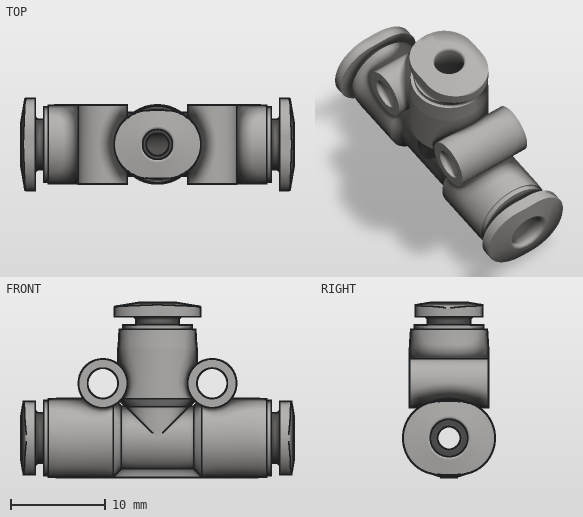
import cadquery as cq

body_radius = 4.2
waist_radius = 3.39
waist_cone = body_radius - waist_radius
flow_radius = 1.2

run_tip = 14.5
run_body_inner = 4.67
run_taper_start = 10.63
run_shoulder = 11.58
run_shoulder_radius = 4.15
run_cap_end = 12.08
run_cap_radius = 4.0
run_neck_radius = 5.37 / 2
run_bore_radius = 3.97 / 2
run_button_radius = 3.9

branch_tip = 14.4
branch_body_inner = 4.15
branch_taper_start = 9.5
branch_shoulder = 11.53
branch_shoulder_radius = 4.07
branch_cap_end = 11.99
branch_cap_radius = 3.7
branch_neck_radius = 4.58 / 2
branch_bore_radius = 3.17 / 2
branch_button_radius = 3.6

button_center_offset = 1.0
button_thickness = 1.54
button_face_drop = 0.45
rim_round = 0.2
neck_flare = 0.33
mouth_round = 0.3
bore_depth = 8.0

sleeve_radius = 5.2 / 2
sleeve_hole_radius = 3.2 / 2
sleeve_offset = 5.8
sleeve_length = 2 * body_radius

rib_width = 1.7


def revolve_outline(outline):
    """Close an outline drawn on the YZ plane and revolve it around Z."""
    return outline.close().revolve(360, (0, 0, 0), (0, 1, 0))


def revolve_profile(points):
    """Revolve a straight-sided outline, given as (radius, height) points, around Z."""
    return revolve_outline(cq.Workplane("YZ").polyline(points))


def socket_body(inner, taper_start, shoulder, shoulder_radius, cap_end, cap_radius):
    """Outer shell of one leg, standing on Z: waist, cone, barrel, taper and end cap."""
    return revolve_profile([
        (0, 0),
        (waist_radius, 0),
        (waist_radius, inner - waist_cone),
        (body_radius, inner),
        (body_radius, taper_start),
        (shoulder_radius, shoulder),
        (cap_radius, shoulder),
        (cap_radius, cap_end),
        (0, cap_end),
    ])


def release_button(tip, radius, neck_radius, bore_radius, cap_end):
    """Oblong button with a conical face, its flare and its neck, standing on Z."""
    base = tip - button_thickness
    reach = radius + button_center_offset
    oblong = (
        cq.Workplane("XY")
        .workplane(offset=base)
        .slot2D(2 * reach, 2 * radius)
        .extrude(button_thickness)
    )
    face = revolve_profile([
        (0, base),
        (reach, base),
        (reach, tip - button_face_drop),
        (bore_radius + mouth_round, tip),
        (0, tip),
    ])
    rim_point = (reach, 0, tip - button_face_drop)
    face = face.edges(cq.selectors.NearestToPointSelector(rim_point)).fillet(rim_round)
    neck = revolve_outline(
        cq.Workplane("YZ")
        .moveTo(0, cap_end)
        .lineTo(neck_radius, cap_end)
        .lineTo(neck_radius, base - neck_flare)
        .radiusArc((neck_radius + neck_flare, base), neck_flare)
        .lineTo(0, base)
    )
    return oblong.intersect(face).union(neck)


def tube_bore(tip, bore_radius):
    """Tube socket with a rounded mouth, narrowing to the flow passage at the origin."""
    return revolve_outline(
        cq.Workplane("YZ")
        .lineTo(flow_radius, 0)
        .lineTo(flow_radius, tip - bore_depth)
        .lineTo(bore_radius, tip - bore_depth)
        .lineTo(bore_radius, tip - mouth_round)
        .radiusArc((bore_radius + mouth_round, tip), mouth_round)
        .lineTo(0, tip)
    )


def to_run(leg, side):
    """Lay a leg from Z onto the +X or -X side, with the long way of its button along Y."""
    return leg.rotate((0, 0, 0), (0, 0, 1), 90).rotate((0, 0, 0), (0, 1, 0), side * 90)


def sleeve_cylinder(radius, side):
    """Cylinder along Y at one sleeve position."""
    return (
        cq.Workplane("XZ", origin=(0, sleeve_length / 2, 0))
        .center(side * sleeve_offset, sleeve_offset)
        .circle(radius)
        .extrude(sleeve_length)
    )


branch_leg = socket_body(
    branch_body_inner, branch_taper_start, branch_shoulder,
    branch_shoulder_radius, branch_cap_end, branch_cap_radius,
).union(release_button(
    branch_tip, branch_button_radius, branch_neck_radius, branch_bore_radius, branch_cap_end,
))
run_leg = socket_body(
    run_body_inner, run_taper_start, run_shoulder,
    run_shoulder_radius, run_cap_end, run_cap_radius,
).union(release_button(
    run_tip, run_button_radius, run_neck_radius, run_bore_radius, run_cap_end,
))
run_bore = tube_bore(run_tip, run_bore_radius)

rib = (
    cq.Workplane("XY")
    .box(2 * run_body_inner, rib_width, body_radius, centered=(True, True, False))
    .translate((0, 0, -body_radius))
)

result = branch_leg.union(rib)
for side in (-1, 1):
    result = result.union(to_run(run_leg, side))
    result = result.union(sleeve_cylinder(sleeve_radius, side))

result = result.cut(tube_bore(branch_tip, branch_bore_radius))
for side in (-1, 1):
    result = result.cut(to_run(run_bore, side))
    result = result.cut(sleeve_cylinder(sleeve_hole_radius, side))